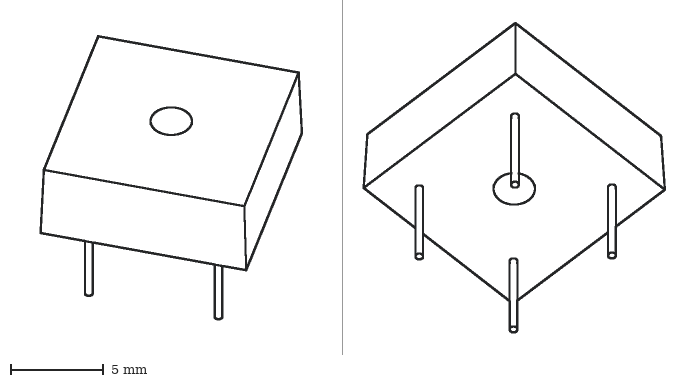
import cadquery as cq

base_side = 11.52
top_side = 11.23
body_height = 4.49

hole_diameter = 2.23

overall_height = 10.2
pin_diameter = 0.43
pin_offset = 3.63
shifted_pin_x = 3.84
pin_length = overall_height - body_height
pin_centers = [
    (-pin_offset, -pin_offset),
    (pin_offset, -pin_offset),
    (-pin_offset, pin_offset),
    (shifted_pin_x, pin_offset),
]


def make_body():
    """Tapered block with its base on Z = 0 and a vertical through hole."""
    block = (
        cq.Workplane("XY")
        .rect(base_side, base_side)
        .workplane(offset=body_height)
        .rect(top_side, top_side)
        .loft(ruled=True)
    )
    hole = cq.Workplane("XY").circle(hole_diameter / 2).extrude(body_height)
    return block.cut(hole)


def make_pins():
    """Four straight leads hanging down from the base."""
    return cq.Workplane("XY").pushPoints(pin_centers).circle(pin_diameter / 2).extrude(-pin_length)


result = make_body().union(make_pins())